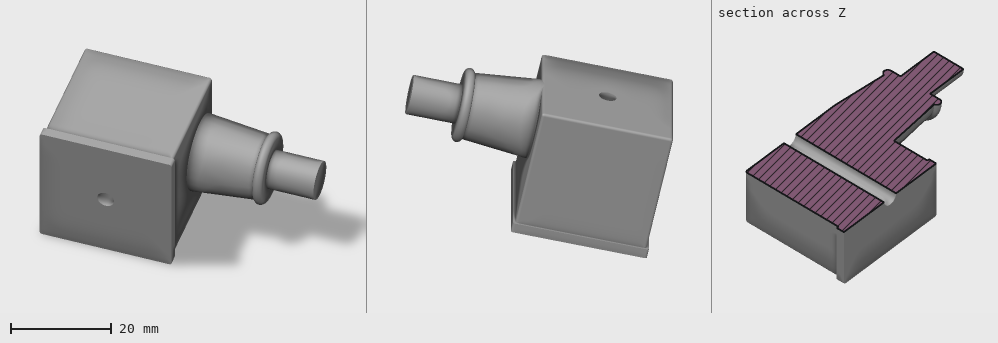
import cadquery as cq

plate_size = 27.7
plate_thickness = 2.0
plate_corner = 0.5

total_depth = 26.8
plate_overhang = 0.5
housing_size = plate_size - 2 * plate_overhang
housing_round = 0.5
hole_diameter = 3.5

total_length = 52.5
collar_radius = 8.0
sleeve_tip_radius = 6.7
collar_length = 0.3
sleeve_length = 13.35
bead_width = 2.0
bead_radius = 7.5
cable_radius = 4.0

housing_side = housing_size / 2
cable_end = total_length - plate_size / 2
outlet_axis_y = total_depth - collar_radius


def make_plate():
    plate = cq.Workplane("XY").box(plate_size, plate_thickness, plate_size, centered=(True, False, True))
    return plate.edges("|Y").fillet(plate_corner)


def make_housing():
    housing = cq.Workplane("XY").box(housing_size, total_depth, housing_size, centered=(True, False, True))
    return housing.edges("|Y or >Y").fillet(housing_round)


def make_outlet():
    """Tapered sleeve with a short straight collar, rounded bead and cable, revolved about X."""
    root_x = housing_side - housing_round
    bead_start = housing_side + sleeve_length
    bead_end = bead_start + bead_width
    bead_half = bead_width / 2
    shoulder_radius = bead_radius - bead_half
    profile = (
        cq.Workplane("XY", origin=(0, outlet_axis_y, 0))
        .moveTo(root_x, 0)
        .lineTo(root_x, collar_radius)
        .lineTo(housing_side + collar_length, collar_radius)
        .lineTo(bead_start, sleeve_tip_radius)
        .lineTo(bead_start, shoulder_radius)
        .threePointArc((bead_start + bead_half, bead_radius), (bead_end, shoulder_radius))
        .lineTo(bead_end, cable_radius)
        .lineTo(cable_end, cable_radius)
        .lineTo(cable_end, 0)
        .close()
    )
    return profile.revolve(360, (0, 0, 0), (1, 0, 0))


def make_screw_hole():
    """Hole through plate and housing along Y."""
    return cq.Workplane("XZ").circle(hole_diameter / 2).extrude(-total_depth)


result = make_plate().union(make_housing()).union(make_outlet()).cut(make_screw_hole())